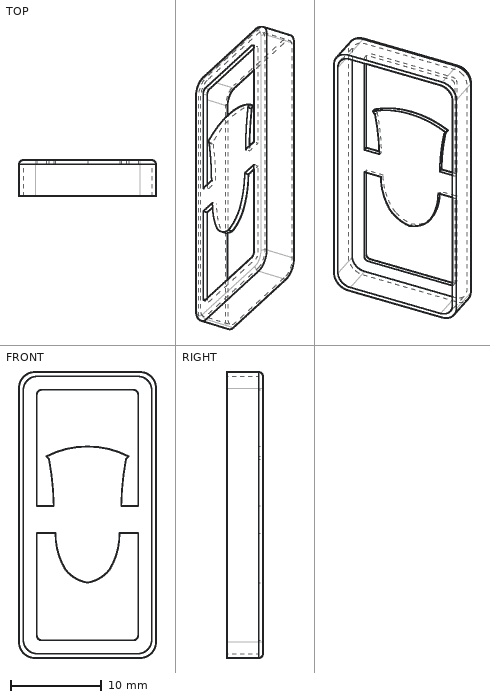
import cadquery as cq

case_width = 15.2
case_depth = 4.0
case_height = 31.7
case_corner_radius = 1.8
wall = 0.5
cavity_corner_radius = 1.5
plate_thickness = 0.5
back_edge_radius = plate_thickness

plate_border = 1.5
cavity_width = case_width - 2 * wall
cavity_height = case_height - 2 * wall
window_width = cavity_width - 2 * plate_border
window_height = cavity_height - 2 * plate_border
window_corner_radius = 0.5

crossbar_height = 3.0
crossbar_center_z = -0.5
crossbar_top_z = crossbar_center_z + crossbar_height / 2
crossbar_bottom_z = crossbar_center_z - crossbar_height / 2

shield_top = (0, 7.6)
shield_crown_middle = (2.3, 7.34)
shield_shoulder = (4.55, 6.5)
shield_neck = (4.28, 6.2)
shield_flank_middle = (3.93, 3.85)
shield_waist = (3.75, crossbar_top_z)
shield_belly = (3.56, crossbar_bottom_z)
shield_lower_middle = (3.2, -4.4)
shield_jaw = (2.48, -6.0)
shield_chin_middle = (1.4, -6.98)
shield_tip = (0, -7.5)

front_y = -case_depth / 2
plate_front_y = case_depth / 2 - plate_thickness


def block(width, height, depth, start_y):
    """Plain block centred on X and Z that runs from start_y towards +Y."""
    return cq.Workplane("XY").box(width, depth, height).translate((0, start_y + depth / 2, 0))


def rounded_block(width, height, depth, corner_radius, start_y):
    """Block whose four edges along Y are rounded."""
    return block(width, height, depth, start_y).edges("|Y").fillet(corner_radius)


def make_rim():
    """Straight wall around the cavity, in front of the back plate."""
    rim_depth = case_depth - plate_thickness
    outside = rounded_block(case_width, case_height, rim_depth, case_corner_radius, front_y)
    cavity = rounded_block(cavity_width, cavity_height, rim_depth, cavity_corner_radius, front_y)
    return outside.cut(cavity)


def make_plate_blank():
    """Plate without its window; the edge rounding takes up the whole plate thickness."""
    envelope = rounded_block(case_width, case_height, case_depth, case_corner_radius, front_y)
    envelope = envelope.faces(">Y").edges().fillet(back_edge_radius)
    return envelope.intersect(block(case_width, case_height, plate_thickness, plate_front_y))


def make_shield():
    half_shield = (
        cq.Workplane("XZ", origin=(0, plate_front_y, 0))
        .moveTo(*shield_top)
        .threePointArc(shield_crown_middle, shield_shoulder)
        .lineTo(*shield_neck)
        .threePointArc(shield_flank_middle, shield_waist)
        .lineTo(*shield_belly)
        .threePointArc(shield_lower_middle, shield_jaw)
        .threePointArc(shield_chin_middle, shield_tip)
        .close()
        .extrude(-plate_thickness)
    )
    return half_shield.union(half_shield.mirror("YZ"))


def make_back_plate():
    """Rounded plate with a window that is crossed by the bar and its shield."""
    window = rounded_block(
        window_width, window_height, plate_thickness, window_corner_radius, plate_front_y
    )
    crossbar = block(window_width, crossbar_height, plate_thickness, plate_front_y)
    crossbar = crossbar.translate((0, 0, crossbar_center_z))
    return make_plate_blank().cut(window).union(crossbar).union(make_shield()).clean()


rim = make_rim()
back_plate = make_back_plate()

result = cq.Compound.makeCompound([*rim.solids().vals(), *back_plate.solids().vals()])